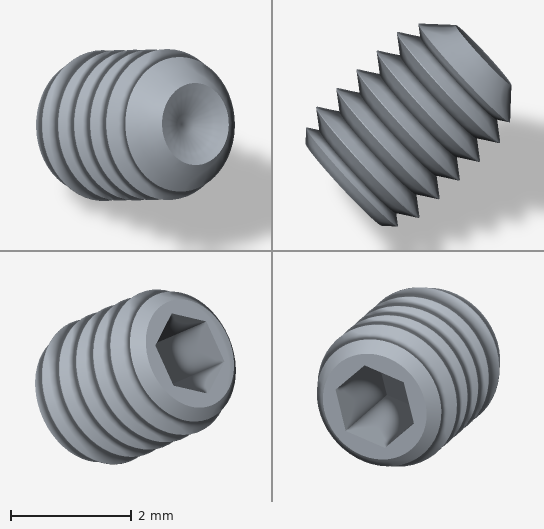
import cadquery as cq
import math

length = 3.18
crest_radius = 1.255
root_radius = 0.94
pitch = 0.46
crest_flat = 0.015
first_root = 0.317
groove_count = 6
head_face_radius = 0.935
tip_face_radius = 0.685
cup_angle = 120
hex_across_flats = 1.27
hex_depth = 1.78
axis_tilt = 31.0


def cylinder_with_chamfered_ends():
    """Blank along Z from the head face, with 45-degree cones at both ends."""
    head_chamfer = crest_radius - head_face_radius
    tip_chamfer = crest_radius - tip_face_radius
    return (
        cq.Workplane("XZ")
        .moveTo(0, 0)
        .lineTo(head_face_radius, 0)
        .lineTo(crest_radius, head_chamfer)
        .lineTo(crest_radius, length - tip_chamfer)
        .lineTo(tip_face_radius, length)
        .lineTo(0, length)
        .close()
        .revolve(360, (0, 0), (0, 1))
    )


def thread_groove(root_height):
    """Ring with a V section whose flanks run past the crest surface."""
    half_width = (pitch - crest_flat) / 2
    overshoot = 1.2
    outer_radius = root_radius + overshoot * (crest_radius - root_radius)
    outer_half_width = overshoot * half_width
    return (
        cq.Workplane("XZ")
        .moveTo(root_radius, root_height)
        .lineTo(outer_radius, root_height + outer_half_width)
        .lineTo(outer_radius, root_height - outer_half_width)
        .close()
        .revolve(360, (0, 0), (0, 1))
    )


def hex_socket():
    """Hexagonal drive with two corners in the vertical plane of the axis."""
    across_corners = hex_across_flats / math.cos(math.radians(30))
    return cq.Workplane("XY").polygon(6, across_corners).extrude(hex_depth)


def tip_cup():
    """Conical hollow spanning the whole tip face."""
    cup_depth = tip_face_radius / math.tan(math.radians(cup_angle / 2))
    return (
        cq.Workplane("XZ")
        .moveTo(0, length)
        .lineTo(tip_face_radius, length)
        .lineTo(0, length - cup_depth)
        .close()
        .revolve(360, (0, 0), (0, 1))
    )


screw = cylinder_with_chamfered_ends()
for groove in range(groove_count):
    screw = screw.cut(thread_groove(first_root + groove * pitch))
screw = screw.cut(hex_socket()).cut(tip_cup())

result = screw.rotate((0, 0, 0), (0, 1, 0), 90 - axis_tilt)